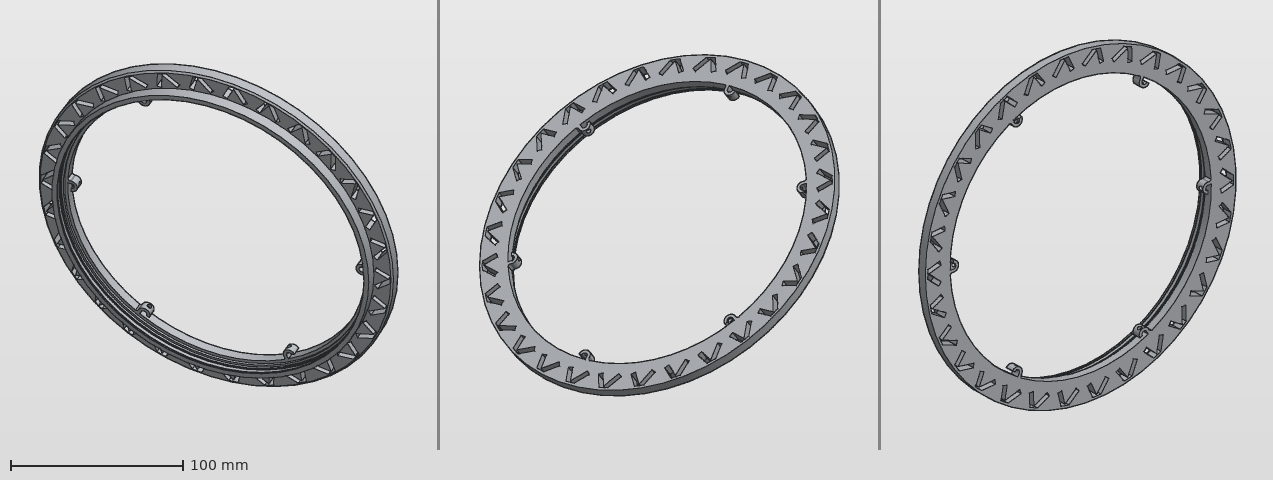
import cadquery as cq
import math

FLANGE_DEPTH = 7.7
COLLAR_DEPTH = 7.2

FLANGE_RADIUS = 112.9
FLANGE_CHAMFER = 1.1
COLLAR_RADIUS = 101.0

LIP_RADIUS = 94.8
LIP_DEPTH = 6.0
SHOULDER_RADIUS = 96.8
SHOULDER_DEPTH = 1.5
GROOVE_RADIUS = 98.2
LAND_RADIUS = 97.7
REAR_GROOVE_WIDTH = 2.0
MIDDLE_LAND_WIDTH = 1.0
FRONT_LAND_WIDTH = 1.4

WINDOW_COUNT = 30
WINDOW_OUTER_RADIUS = 111.0
WINDOW_VERTEX_RADIUS = 110.2
WINDOW_FOOT_RADIUS = 101.3
WINDOW_LEG_WIDTH = 3.0
LONG_LEG_ANGLE = 40.0
SHORT_LEG_ANGLE = 20.0

HOOK_COUNT = 6
HOOK_CENTRE_RADIUS = 92.5
HOOK_OUTER_RADIUS = 3.8
HOOK_INNER_RADIUS = 1.8
HOOK_FILLET = 1.8
HOOK_OVERLAP = 1.0

TIP_HOLE_DIAMETER = 2.7
TIP_HOLE_SETBACK = 2.3


def ring_body():
    """Revolve the flange, the collar and the stepped bore about the Y axis."""
    lip_front = FLANGE_DEPTH - LIP_DEPTH
    shoulder_front = lip_front - SHOULDER_DEPTH
    middle_land_back = shoulder_front - REAR_GROOVE_WIDTH
    middle_land_front = middle_land_back - MIDDLE_LAND_WIDTH
    front_land_back = FRONT_LAND_WIDTH - COLLAR_DEPTH
    outline = [
        (LIP_RADIUS, FLANGE_DEPTH),
        (FLANGE_RADIUS, FLANGE_DEPTH),
        (FLANGE_RADIUS, FLANGE_CHAMFER),
        (FLANGE_RADIUS - FLANGE_CHAMFER, 0),
        (COLLAR_RADIUS, 0),
        (COLLAR_RADIUS, -COLLAR_DEPTH),
        (LAND_RADIUS, -COLLAR_DEPTH),
        (LAND_RADIUS, front_land_back),
        (GROOVE_RADIUS, front_land_back),
        (GROOVE_RADIUS, middle_land_front),
        (LAND_RADIUS, middle_land_front),
        (LAND_RADIUS, middle_land_back),
        (GROOVE_RADIUS, middle_land_back),
        (GROOVE_RADIUS, shoulder_front),
        (SHOULDER_RADIUS, shoulder_front),
        (SHOULDER_RADIUS, lip_front),
        (LIP_RADIUS, lip_front),
    ]
    return cq.Workplane("XY").polyline(outline).close().revolve(360, (0, 0, 0), (0, 1, 0))


def leg_points(side, angle):
    """Foot inner, foot outer and top outer corners of one window leg; side is -1 or +1 along X."""
    slope = math.tan(math.radians(angle))
    across = WINDOW_LEG_WIDTH * math.cos(math.radians(angle))
    along = WINDOW_LEG_WIDTH * math.sin(math.radians(angle))
    foot_x = (WINDOW_VERTEX_RADIUS - WINDOW_FOOT_RADIUS) * slope
    foot_outer = (foot_x + across, WINDOW_FOOT_RADIUS + along)
    top_x = foot_outer[0] - (FLANGE_RADIUS - foot_outer[1]) * slope
    corners = [(foot_x, WINDOW_FOOT_RADIUS), foot_outer, (top_x, FLANGE_RADIUS)]
    return [(side * x, z) for x, z in corners]


def window():
    """V-shaped cutter at +Z; the rim outside it stays closed."""
    long_leg = leg_points(1, LONG_LEG_ANGLE)
    short_leg = leg_points(-1, SHORT_LEG_ANGLE)
    outline = [(0, WINDOW_VERTEX_RADIUS)] + short_leg + long_leg[::-1]
    rim_bore = cq.Workplane("XZ").circle(WINDOW_OUTER_RADIUS).extrude(-FLANGE_DEPTH)
    return cq.Workplane("XZ").polyline(outline).close().extrude(-FLANGE_DEPTH).intersect(rim_bore)


def hook():
    """Half-round hook at +Z, joined to the lip by a straight arm with a filleted root."""
    root = LIP_RADIUS + HOOK_OVERLAP
    fillet_end = HOOK_OUTER_RADIUS + HOOK_FILLET
    fillet_sag = HOOK_FILLET * (1 - math.sqrt(0.5))
    lip_front = FLANGE_DEPTH - LIP_DEPTH
    blank = (
        cq.Workplane("XZ", origin=(0, lip_front, 0))
        .moveTo(HOOK_INNER_RADIUS, root)
        .lineTo(HOOK_INNER_RADIUS, HOOK_CENTRE_RADIUS)
        .threePointArc(
            (0, HOOK_CENTRE_RADIUS - HOOK_INNER_RADIUS),
            (-HOOK_INNER_RADIUS, HOOK_CENTRE_RADIUS),
        )
        .lineTo(-HOOK_OUTER_RADIUS, HOOK_CENTRE_RADIUS)
        .threePointArc(
            (0, HOOK_CENTRE_RADIUS - HOOK_OUTER_RADIUS),
            (HOOK_OUTER_RADIUS, HOOK_CENTRE_RADIUS),
        )
        .lineTo(HOOK_OUTER_RADIUS, LIP_RADIUS - HOOK_FILLET)
        .threePointArc(
            (HOOK_OUTER_RADIUS + fillet_sag, LIP_RADIUS - fillet_sag),
            (fillet_end, LIP_RADIUS),
        )
        .lineTo(fillet_end, root)
        .close()
        .extrude(-LIP_DEPTH)
    )
    tip_hole = (
        cq.Workplane("XY", origin=(0, FLANGE_DEPTH - TIP_HOLE_SETBACK, HOOK_CENTRE_RADIUS))
        .circle(TIP_HOLE_DIAMETER / 2)
        .extrude(-2 * HOOK_OUTER_RADIUS)
    )
    return blank.cut(tip_hole)


def around_axis(shape, count):
    """Copies of a shape made at +Z, spaced evenly about the Y axis with the first at +X."""
    copies = cq.Workplane("XY")
    for index in range(count):
        copies = copies.add(shape.rotate((0, 0, 0), (0, 1, 0), 90 + index * 360 / count))
    return copies.combine(glue=True)


body = ring_body().cut(around_axis(window(), WINDOW_COUNT))
result = body.union(around_axis(hook(), HOOK_COUNT))